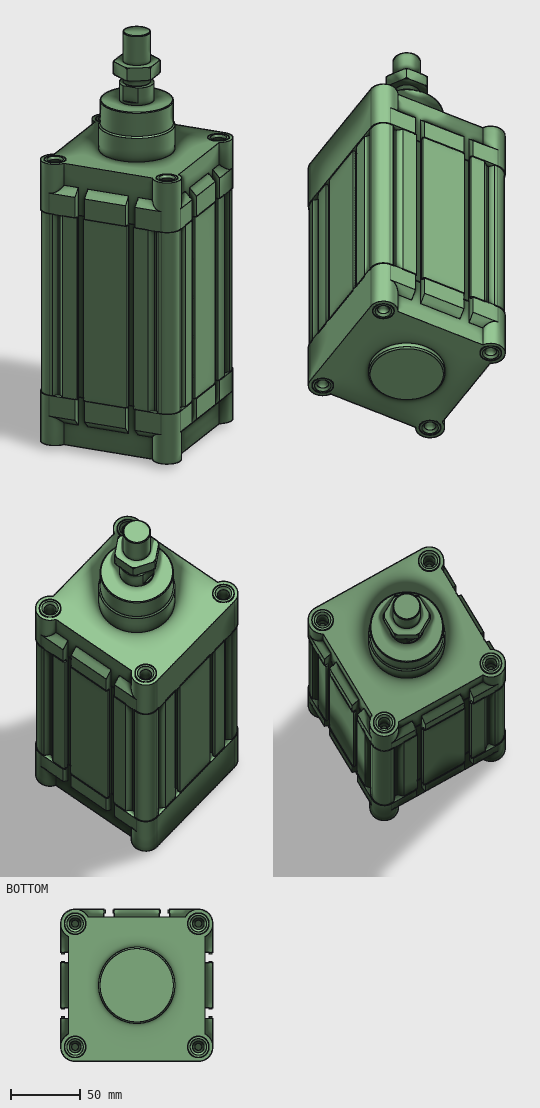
import cadquery as cq
import math


width = 110.0
half_width = width / 2
overall_height = 313
bolt_offset = 44.5
corner_radius = half_width - bolt_offset

rear_boss_height = 4.7
cap_height = 38.5
barrel_height = 140.5
front_boss_height = 38.0
front_boss_step = 19.5
barrel_base = rear_boss_height + cap_height
barrel_top = barrel_base + barrel_height
cap_top = barrel_top + cap_height
front_boss_top = cap_top + front_boss_height

cap_recess = 5.5
core_half = half_width - cap_recess
pad_height = 16.0
pad_slope_height = 5.5
pad_inner_half = 16.3
pad_outer_start = 23.8

boss_diameter = 55.0
boss_tip_diameter = 53.0
boss_step = (boss_diameter - boss_tip_diameter) / 2
boss_edge_chamfer = 0.5

head_diameter = 15.5
head_tip_diameter = 15.0
head_groove_depth = 1.0
sink_diameter = 12.0
thread_diameter = 8.5
tip_diameter = 5.0
thread_depth = 15.5

barrel_inset = 0.5
barrel_half = half_width - barrel_inset
slot_inner = 17.2
slot_outer = 22.5
slot_lip = 2.2
slot_floor = core_half - 0.5
groove_inner = 33.8
groove_floor_inner = 37.5
groove_floor_outer = 39.0
groove_outer = 42.0
groove_depth = 3.5

rod_diameter = 25
rod_flats = 22
rod_collar_height = 2.0
rod_shoulder = 13.5
rod_thread_diameter = 20.0
rod_thread_chamfer = 0.5
rod_base = cap_top

nut_flats = 29.7
nut_corners = nut_flats / math.cos(math.pi / 6)
nut_height = 10.0
nut_clearance = 20.0
nut_base = front_boss_top + nut_clearance
nut_chamfer_radial = 1.0
nut_chamfer_height = 0.5

bolt_points = [(x, y) for x in (-bolt_offset, bolt_offset) for y in (-bolt_offset, bolt_offset)]
recessed_sides = (0, 90, -90)
all_sides = (0, 90, 180, -90)


def cylinder(diameter, base, height):
    return cq.Workplane("XY").workplane(offset=base).circle(diameter / 2).extrude(height)


def turn(body, angle):
    return body.rotate((0, 0, 0), (0, 0, 1), angle)


def block(x_start, x_end, y_start, y_end, height):
    return cq.Workplane("XY").box(
        x_end - x_start, y_end - y_start, height, centered=False
    ).translate((x_start, y_start, 0))


def cap_pad(x_start, x_end):
    """Raised pad on the -Y face, sloping back to the core at its outer end."""
    outline = [
        (0, 0),
        (-half_width, 0),
        (-half_width, pad_height),
        (-core_half, pad_height + pad_slope_height),
        (0, pad_height + pad_slope_height),
    ]
    return cq.Workplane("YZ").workplane(offset=x_start).polyline(outline).close().extrude(x_end - x_start)


def bolt_recess():
    """Cuts of one bolt end: ring groove round the head, then a countersunk blind thread."""
    sink_depth = (sink_diameter - thread_diameter) / 2
    tip_depth = (thread_diameter - tip_diameter) / 2
    ring = (
        cq.Workplane("XZ")
        .polyline([
            (head_tip_diameter / 2, cap_height),
            (head_diameter / 2, cap_height),
            (head_diameter / 2, cap_height - head_groove_depth),
        ])
        .close()
        .revolve(360, (0, 0), (0, 1))
    )
    hole = (
        cq.Workplane("XZ")
        .polyline([
            (0, cap_height),
            (sink_diameter / 2, cap_height),
            (thread_diameter / 2, cap_height - sink_depth),
            (thread_diameter / 2, cap_height - thread_depth),
            (tip_diameter / 2, cap_height - thread_depth - tip_depth),
            (0, cap_height - thread_depth - tip_depth),
        ])
        .close()
        .revolve(360, (0, 0), (0, 1))
    )
    return ring.union(hole)


def make_cap():
    """End cap with its barrel side at Z = 0 and its outer face at cap_height."""
    cap = block(-core_half, core_half, -core_half, core_half, cap_height)
    cap = cap.union(block(-bolt_offset, bolt_offset, 0, half_width, cap_height))
    cap = cap.union(cq.Workplane("XY").pushPoints(bolt_points).circle(corner_radius).extrude(cap_height))
    pad_spans = (
        (-bolt_offset, -pad_outer_start),
        (-pad_inner_half, pad_inner_half),
        (pad_outer_start, bolt_offset),
    )
    for angle in recessed_sides:
        for x_start, x_end in pad_spans:
            cap = cap.union(turn(cap_pad(x_start, x_end), angle))
    for x, y in bolt_points:
        cap = cap.cut(bolt_recess().translate((x, y, 0)))
    return cap


def barrel_side_cuts():
    """Long slots and sensor grooves of the -Y face, symmetric about X = 0."""
    mouth = block(slot_inner, slot_outer, -half_width, -slot_floor, barrel_height)
    undercut = block(
        pad_inner_half, pad_outer_start, -barrel_half + slot_lip, -slot_floor, barrel_height
    )
    groove = (
        cq.Workplane("XY")
        .polyline([
            (groove_inner, -barrel_half),
            (groove_floor_inner, -barrel_half + groove_depth),
            (groove_floor_outer, -barrel_half + groove_depth),
            (groove_outer, -barrel_half),
        ])
        .close()
        .extrude(barrel_height)
    )
    cuts = mouth.union(undercut).union(groove)
    return cuts.union(cuts.mirror("YZ"))


def make_barrel():
    """Profiled barrel standing on Z = 0."""
    barrel = (
        cq.Workplane("XY")
        .rect(2 * barrel_half, 2 * barrel_half)
        .extrude(barrel_height)
        .edges("|Z")
        .fillet(barrel_half - bolt_offset)
    )
    for angle in all_sides:
        barrel = barrel.cut(turn(barrel_side_cuts(), angle))
    return barrel


def make_housing():
    """Barrel, both caps and both centring bosses in one solid, with a blind seat for the rod."""
    cap = make_cap()
    front_cap = cap.translate((0, 0, barrel_top))
    rear_cap = cap.mirror("XY").translate((0, 0, barrel_base))
    rear_boss = cylinder(boss_diameter, 0, rear_boss_height).faces("<Z").chamfer(boss_step)
    front_boss = cylinder(boss_diameter, cap_top, front_boss_step).faces(">Z").chamfer(boss_step)
    front_tip = cylinder(boss_tip_diameter, cap_top, front_boss_height)
    front_tip = front_tip.faces(">Z").chamfer(boss_edge_chamfer)
    housing = make_barrel().translate((0, 0, barrel_base))
    for piece in (front_cap, rear_cap, rear_boss, front_boss, front_tip):
        housing = housing.union(piece)
    return housing.cut(cylinder(rod_diameter, rod_base, front_boss_height))


def make_rod():
    """Piston rod with two wrench flats and a thinner threaded end."""
    flats_base = front_boss_top + rod_collar_height
    shoulder = front_boss_top + rod_shoulder
    rod = cylinder(rod_diameter, rod_base, shoulder - rod_base)
    across_flats = (
        cq.Workplane("XY")
        .workplane(offset=flats_base)
        .rect(rod_diameter, rod_flats)
        .extrude(shoulder - flats_base)
    )
    full_round = cylinder(rod_diameter, rod_base, flats_base - rod_base)
    rod = rod.intersect(across_flats.union(full_round))
    thread = cylinder(rod_thread_diameter, shoulder, overall_height - shoulder)
    return rod.union(thread.faces("<Z or >Z").chamfer(rod_thread_chamfer))


def make_nut():
    """Hexagon lock nut, corners along Y, with its corners bevelled at both ends."""
    hexagon = (
        cq.Workplane("XY").workplane(offset=nut_base).polygon(6, nut_corners).extrude(nut_height)
    )
    hexagon = turn(hexagon, 90)
    bevel = cylinder(nut_corners, nut_base, nut_height)
    bevel = bevel.faces("<Z or >Z").chamfer(nut_chamfer_height, nut_chamfer_radial)
    return hexagon.intersect(bevel).cut(cylinder(rod_thread_diameter, nut_base, nut_height))


housing = make_housing()
rod = make_rod()
nut = make_nut()

result = cq.Compound.makeCompound([housing.val(), rod.val(), nut.val()])